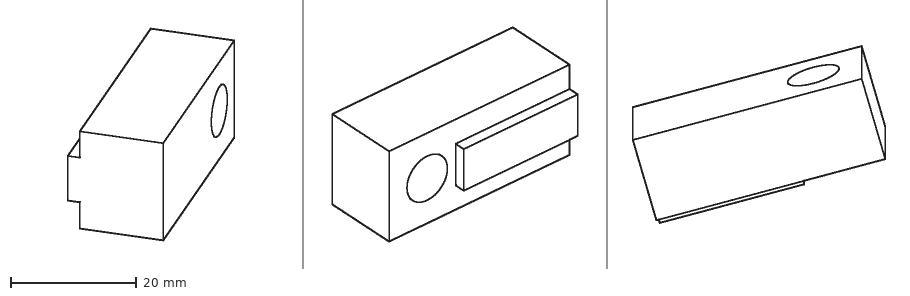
import cadquery as cq

length = 38.0
total_width = 16.0
height = 17.45

tongue_depth = 2.0
tongue_length = 24.0
tongue_height = 8.0

hole_diameter = 8.5
hole_end_distance = 8.0

block_width = total_width - tongue_depth
block_left = -block_width / 2


def make_block():
    return cq.Workplane("XY").box(block_width, length, height, centered=(True, False, True))


def make_tongue():
    tongue = cq.Workplane("XY").box(
        tongue_depth, tongue_length, tongue_height, centered=(False, False, True)
    )
    return tongue.translate((block_left - tongue_depth, 0, 0))


def make_cross_hole():
    return (
        cq.Workplane("YZ", origin=(block_left, length - hole_end_distance, 0))
        .circle(hole_diameter / 2)
        .extrude(block_width)
    )


result = make_block().union(make_tongue()).cut(make_cross_hole())